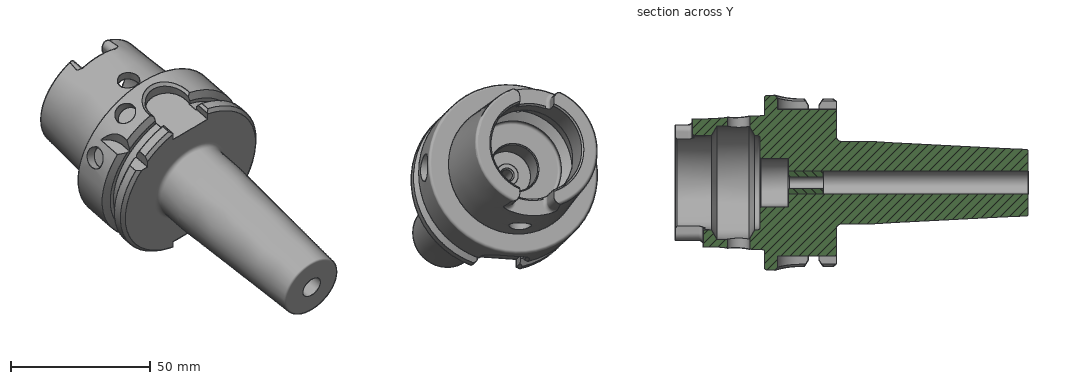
import cadquery as cq
import math

TOTAL_LENGTH = 127.0
TAPER_LENGTH = 32.0
FLANGE_WIDTH = 26.0
FLANGE_END = TAPER_LENGTH + FLANGE_WIDTH
GROOVE_LIP_START = 46.4
GROOVE_FLOOR_START = 47.9
GROOVE_FLOOR_END = 51.7
GROOVE_LIP_END = 53.3
SHANK_CYLINDER_END = 69.8

FLANGE_RADIUS = 31.5
TAPER_SLOPE = 0.05
TAPER_BASE_RADIUS = 24.3
GROOVE_RADIUS = 27.5
GROOVE_FLANK_RADIUS = 29.0
SHANK_RADIUS = 15.0
TIP_RADIUS = 12.1

EDGE_ROUND = 1.0
FLANGE_END_CHAMFER = 1.3
SHANK_ROOT_FILLET = 1.7
TIP_ROUND = 0.8
NOSE_RADIUS = TAPER_BASE_RADIUS - TAPER_SLOPE * (TAPER_LENGTH - EDGE_ROUND)

MOUTH_RADIUS = 16.9
MOUTH_CHAMFER = 0.6
MOUTH_END = 13.1
UNDERCUT_RADIUS = 20.3
UNDERCUT_FLANK = (UNDERCUT_RADIUS - MOUTH_RADIUS) * math.tan(math.radians(30))
UNDERCUT_END = 28.6
CAVITY_DEPTH = 30.5
CAVITY_FLOOR_FILLET = 0.9

RECESS_RADIUS = 8.6
RECESS_CHAMFER = 0.4
RECESS_DEPTH = 10.2
RECESS_FLOOR = CAVITY_DEPTH + RECESS_DEPTH
BORE_RADIUS = 4.1

SCREW_LENGTH = 12.7
SCREW_HOLE_RADIUS = 2.0
SCREW_HOLE_CHAMFER = 0.5

DRIVE_SLOT_HALF_WIDTH = 6.4
DRIVE_SLOT_DEPTH_TOP = 6.1
DRIVE_SLOT_DEPTH_BOTTOM = 10.0
DRIVE_FLARE_RADIUS = 2.5
DRIVE_FLARE_START = 18.3
DRIVE_FLOOR_FILLET = 1.4
DRIVE_SLOT_INNER = 11.4

ACCESS_HOLE_X = 22.9
ACCESS_HOLE_RADIUS = 4.0

KEYWAY_HALF_WIDTH = 8.0
KEYWAY_FLOOR = 26.4
KEYWAY_ARC_X = 45.0
KEYWAY_CHAMFER = 1.1

NOTCH_OFFSET = 20.0
NOTCH_ARC_X = 44.2
NOTCH_ARC_RADIUS = 8.0

RIM_HOLE_X = 38.2
RIM_HOLE_RADIUS = 4.0
RIM_HOLE_FLOOR = 27.7
RIM_HOLE_SPREAD = 18.3
RIM_HOLE_ANGLES = (45 - RIM_HOLE_SPREAD, 45 + RIM_HOLE_SPREAD)
CHIP_HOLE_X = 38.7
CHIP_HOLE_RADIUS = 5.0
CHIP_HOLE_ANGLE = -90

BEYOND = FLANGE_RADIUS + 6.4


def turned_blank():
    """Taper, grooved flange and shank, turned about X."""
    outline = (
        cq.Workplane("XY")
        .moveTo(0, 0)
        .lineTo(0, NOSE_RADIUS - EDGE_ROUND)
        .radiusArc((EDGE_ROUND, NOSE_RADIUS), EDGE_ROUND)
        .lineTo(TAPER_LENGTH, TAPER_BASE_RADIUS)
        .lineTo(TAPER_LENGTH, FLANGE_RADIUS - EDGE_ROUND)
        .radiusArc((TAPER_LENGTH + EDGE_ROUND, FLANGE_RADIUS), EDGE_ROUND)
        .lineTo(GROOVE_LIP_START, FLANGE_RADIUS)
        .lineTo(GROOVE_FLOOR_START, GROOVE_FLANK_RADIUS)
        .lineTo(GROOVE_FLOOR_START, GROOVE_RADIUS)
        .lineTo(GROOVE_FLOOR_END, GROOVE_RADIUS)
        .lineTo(GROOVE_FLOOR_END, GROOVE_FLANK_RADIUS)
        .lineTo(GROOVE_LIP_END, FLANGE_RADIUS)
        .lineTo(FLANGE_END - FLANGE_END_CHAMFER, FLANGE_RADIUS)
        .lineTo(FLANGE_END, FLANGE_RADIUS - FLANGE_END_CHAMFER)
        .lineTo(FLANGE_END, SHANK_RADIUS + SHANK_ROOT_FILLET)
        .radiusArc((FLANGE_END + SHANK_ROOT_FILLET, SHANK_RADIUS), -SHANK_ROOT_FILLET)
        .lineTo(SHANK_CYLINDER_END, SHANK_RADIUS)
        .lineTo(TOTAL_LENGTH - TIP_ROUND, TIP_RADIUS)
        .radiusArc((TOTAL_LENGTH, TIP_RADIUS - TIP_ROUND), TIP_ROUND)
        .lineTo(TOTAL_LENGTH, 0)
        .close()
    )
    return outline.revolve(360, (0, 0, 0), (1, 0, 0))


def inner_space():
    """Clamping cavity, coolant recess and axial bore, turned about X."""
    outline = (
        cq.Workplane("XY")
        .moveTo(0, 0)
        .lineTo(0, MOUTH_RADIUS + MOUTH_CHAMFER)
        .lineTo(MOUTH_CHAMFER, MOUTH_RADIUS)
        .lineTo(MOUTH_END, MOUTH_RADIUS)
        .lineTo(MOUTH_END + UNDERCUT_FLANK, UNDERCUT_RADIUS)
        .lineTo(UNDERCUT_END - UNDERCUT_FLANK, UNDERCUT_RADIUS)
        .lineTo(UNDERCUT_END, MOUTH_RADIUS)
        .lineTo(CAVITY_DEPTH - CAVITY_FLOOR_FILLET, MOUTH_RADIUS)
        .radiusArc((CAVITY_DEPTH, MOUTH_RADIUS - CAVITY_FLOOR_FILLET), CAVITY_FLOOR_FILLET)
        .lineTo(CAVITY_DEPTH, RECESS_RADIUS + RECESS_CHAMFER)
        .lineTo(CAVITY_DEPTH + RECESS_CHAMFER, RECESS_RADIUS)
        .lineTo(RECESS_FLOOR, RECESS_RADIUS)
        .lineTo(RECESS_FLOOR, BORE_RADIUS)
        .lineTo(TOTAL_LENGTH, BORE_RADIUS)
        .lineTo(TOTAL_LENGTH, 0)
        .close()
    )
    return outline.revolve(360, (0, 0, 0), (1, 0, 0))


def drive_slot(depth):
    """Open-ended nose slot on the +Z side, flared outwards, with a rounded floor."""
    flare_half_width = DRIVE_SLOT_HALF_WIDTH + DRIVE_FLARE_RADIUS
    flare_end = DRIVE_FLARE_START + DRIVE_FLARE_RADIUS
    slot = (
        cq.Workplane("YZ")
        .moveTo(-DRIVE_SLOT_HALF_WIDTH, DRIVE_SLOT_INNER)
        .lineTo(-DRIVE_SLOT_HALF_WIDTH, DRIVE_FLARE_START)
        .radiusArc((-flare_half_width, flare_end), -DRIVE_FLARE_RADIUS)
        .lineTo(-FLANGE_RADIUS, flare_end)
        .lineTo(-FLANGE_RADIUS, BEYOND)
        .lineTo(FLANGE_RADIUS, BEYOND)
        .lineTo(FLANGE_RADIUS, flare_end)
        .lineTo(flare_half_width, flare_end)
        .radiusArc((DRIVE_SLOT_HALF_WIDTH, DRIVE_FLARE_START), -DRIVE_FLARE_RADIUS)
        .lineTo(DRIVE_SLOT_HALF_WIDTH, DRIVE_SLOT_INNER)
        .close()
        .extrude(depth)
    )
    slot = slot.faces(">X").edges("not(|Y)").fillet(DRIVE_FLOOR_FILLET)
    return slot.union(drive_slot_chamfer(depth))


def drive_slot_chamfer(depth):
    """Chamfer between a drive slot floor and the cavity mouth."""
    floor_half_width = DRIVE_SLOT_HALF_WIDTH - DRIVE_FLOOR_FILLET
    cone = (
        cq.Workplane("XY")
        .moveTo(depth, 0)
        .lineTo(depth, MOUTH_RADIUS + MOUTH_CHAMFER)
        .lineTo(depth + MOUTH_CHAMFER, MOUTH_RADIUS)
        .lineTo(depth + MOUTH_CHAMFER, 0)
        .close()
        .revolve(360, (0, 0, 0), (1, 0, 0))
    )
    floor_strip = (
        cq.Workplane("YZ")
        .moveTo(-floor_half_width, DRIVE_SLOT_INNER)
        .lineTo(-floor_half_width, BEYOND)
        .lineTo(floor_half_width, BEYOND)
        .lineTo(floor_half_width, DRIVE_SLOT_INNER)
        .close()
        .extrude(depth + MOUTH_CHAMFER)
    )
    return cone.intersect(floor_strip)


def keyway():
    """Round-ended keyway on the +Z side, open towards +X."""
    return (
        cq.Workplane("XY")
        .workplane(offset=KEYWAY_FLOOR)
        .moveTo(FLANGE_END, -KEYWAY_HALF_WIDTH)
        .lineTo(KEYWAY_ARC_X, -KEYWAY_HALF_WIDTH)
        .threePointArc((KEYWAY_ARC_X - KEYWAY_HALF_WIDTH, 0), (KEYWAY_ARC_X, KEYWAY_HALF_WIDTH))
        .lineTo(FLANGE_END, KEYWAY_HALF_WIDTH)
        .close()
        .extrude(BEYOND - KEYWAY_FLOOR)
    )


def chamfered_keyway():
    """Keyway on the +Z side with a chamfer where its wall meets the flange rim."""
    disc = cq.Workplane("YZ").workplane(offset=TAPER_LENGTH).circle(FLANGE_RADIUS).extrude(FLANGE_WIDTH)
    slotted = disc.cut(keyway())
    keyway_rim = cq.selectors.BoxSelector(
        (TAPER_LENGTH + EDGE_ROUND, -BEYOND, (KEYWAY_FLOOR + FLANGE_RADIUS) / 2),
        (FLANGE_END - EDGE_ROUND, BEYOND, BEYOND),
    )
    return disc.cut(slotted.edges(keyway_rim).chamfer(KEYWAY_CHAMFER))


def orientation_notch():
    """Square-cornered notch between -Y and +Z, with one rounded end wall."""
    arc_centre_y = -NOTCH_OFFSET - NOTCH_ARC_RADIUS
    return (
        cq.Workplane("XY")
        .workplane(offset=NOTCH_OFFSET)
        .moveTo(FLANGE_END, -NOTCH_OFFSET)
        .lineTo(NOTCH_ARC_X, -NOTCH_OFFSET)
        .radiusArc((NOTCH_ARC_X - NOTCH_ARC_RADIUS, arc_centre_y), -NOTCH_ARC_RADIUS)
        .lineTo(FLANGE_END, arc_centre_y)
        .close()
        .extrude(BEYOND - NOTCH_OFFSET)
    )


def rim_hole(x, radius, angle):
    """Flat-bottomed radial hole, turned about X by the angle from +Z towards -Y."""
    return (
        cq.Workplane("XY")
        .workplane(offset=RIM_HOLE_FLOOR)
        .center(x, 0)
        .circle(radius)
        .extrude(BEYOND - RIM_HOLE_FLOOR)
        .rotate((0, 0, 0), (1, 0, 0), angle)
    )


def access_holes():
    """One straight hole along Z through both taper walls."""
    return (
        cq.Workplane("XY")
        .center(ACCESS_HOLE_X, 0)
        .circle(ACCESS_HOLE_RADIUS)
        .extrude(BEYOND, both=True)
    )


def opposite(cutter):
    """The same cutter turned half a revolution about X."""
    return cutter.rotate((0, 0, 0), (1, 0, 0), 180)


def make_holder():
    """Tool holder with all its slots, keyways and holes."""
    body = turned_blank().cut(inner_space())
    body = body.cut(drive_slot(DRIVE_SLOT_DEPTH_TOP))
    body = body.cut(opposite(drive_slot(DRIVE_SLOT_DEPTH_BOTTOM)))
    body = body.cut(access_holes())
    body = body.cut(chamfered_keyway()).cut(opposite(chamfered_keyway()))
    body = body.cut(orientation_notch())
    for angle in RIM_HOLE_ANGLES:
        body = body.cut(rim_hole(RIM_HOLE_X, RIM_HOLE_RADIUS, angle))
    return body.cut(rim_hole(CHIP_HOLE_X, CHIP_HOLE_RADIUS, CHIP_HOLE_ANGLE))


def make_stop_screw():
    """Hollow screw at the inner end of the axial bore."""
    return (
        cq.Workplane("YZ")
        .workplane(offset=RECESS_FLOOR)
        .circle(BORE_RADIUS)
        .circle(SCREW_HOLE_RADIUS)
        .extrude(SCREW_LENGTH)
        .faces("<X")
        .edges(cq.selectors.RadiusNthSelector(0))
        .chamfer(SCREW_HOLE_CHAMFER)
    )


holder = make_holder()
stop_screw = make_stop_screw()
result = cq.Compound.makeCompound([holder.val(), stop_screw.val()])